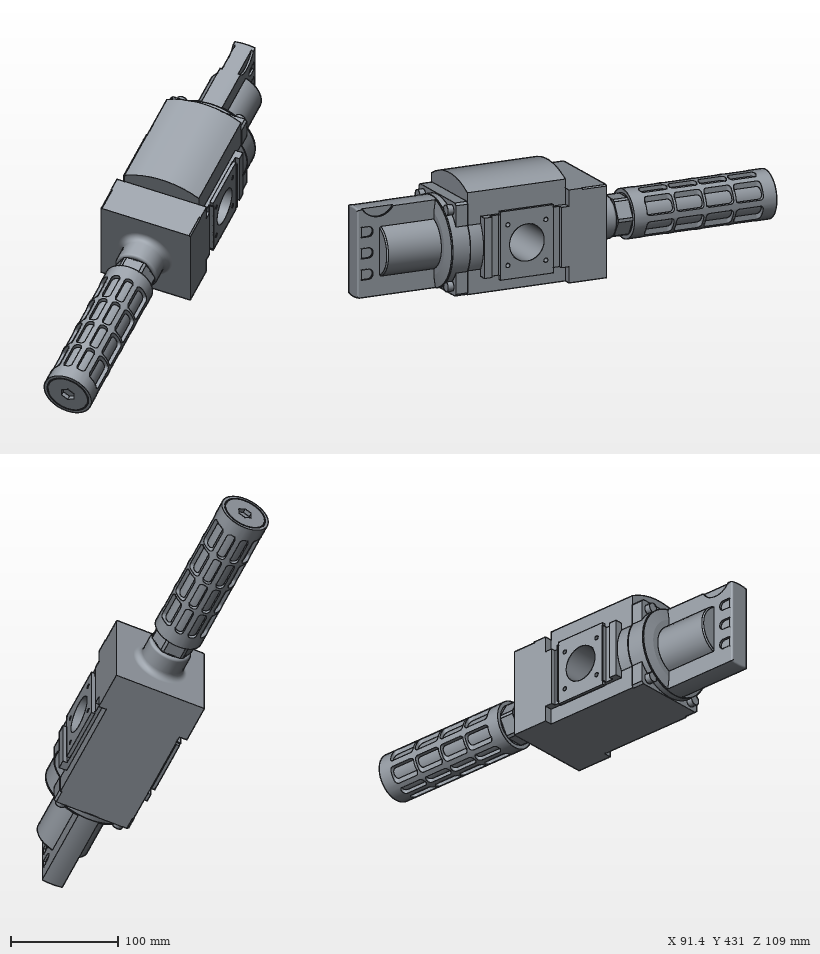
import cadquery as cq
import math


BODY_HALF = 45.2
BODY_BACK = 58.0
SPINE_HALF_WIDTH = 37.5
BLOCK_BACK = -44.0
BLOCK_SEAM = -58.0
BLOCK_FRONT = -83.0
BLOCK_CHAMFER = 1.5
DOME_SIDE_TOP = 54.0
DOME_TOP = 63.8

BAND_BACK = 44.5
BAND_HALF_HEIGHT = 29.5
NOTCH_OUTER = 36.0
NOTCH_INNER = 27.5
NOTCH_DEPTH = 4.5
PLATE_HALF_HEIGHT = 33.0
PLATE_THICKNESS = 3.5
LIP_HEIGHT = 1.0
LIP_WIDTH = 1.5
LIP_HALF_LENGTH = 29.7
PORT_DIAMETER = 36.0
PLATE_HOLE_DIAMETER = 4.15
PLATE_HOLE_SPACING = 39.5
PLATE_HOLE_DEPTH = 8.5

NECK_RADIUS = 43.5
BEZEL_RADIUS = 44.5
BEZEL_BACK = 76.5
LUG_BACK = 70.5
LUG_HALF_WIDTH = 38.5
LUG_HALF_HEIGHT = 45.2
LUG_CHAMFER = 2.0
SCREW_DIAMETER = 10.0
SCREW_X = 29.5
SCREW_Z = 37.0

COLLAR_RADIUS = 21.0
COLLAR_FLARE = 6.0
COLLAR_FRONT = -107.0
COLLAR_ROUNDING = 2.5

KNOB_RIM_BACK = 78.0
KNOB_DOME_RADIUS = 32.5
KNOB_DOME_BACK = 79.5
HUB_RADIUS = 26.3
HUB_BACK = 136.0
HUB_CHAMFER = 1.5
GRIP_TAB_RADIUS = 44.0
GRIP_TAB_HALF_WIDTH = 10.5
GRIP_TAB_BACK = 159.0
GRIP_TAB_ROUNDING = 1.7
SCOOP_RADIUS = 18.5
SCOOP_Y = 138
SCOOP_Z = 52.5
SCOOP_DEPTH = 2.0
LOCK_SLOT_WIDTH = 10.0
LOCK_SLOT_BACK = 155
LOCK_SLOT_FRONT = 143.0
LOCK_SLOT_PITCH = 20.5
LOCK_SLOT_DEPTH = 2.0

HEX_ACROSS_FLATS = 36.0
HEX_BACK = -108.0
NECK_DIAMETER = 34.0
CORE_DIAMETER = 40.0
SLEEVE_DIAMETER = 48.0
SLEEVE_BACK = -123.0
SLEEVE_FRONT = GRIP_TAB_BACK - 431
END_GAP = 1.0
END_GAP_DEPTH = 2.0
WINDOW_ROWS = 4
WINDOW_PITCH = 31.0
WINDOW_LENGTH = 28.5
WINDOW_BACK = -136.5
WINDOW_ROUNDING = 3.5
NARROW_WINDOW_INNER = 2.5
NARROW_WINDOW_OUTER = 10.8
WIDE_WINDOW_INNER = 15.0
WIDE_WINDOW_UPPER = 2.0
WIDE_WINDOW_LOWER = -4.0
SOCKET_ACROSS_FLATS = 12.5
SOCKET_DEPTH = 4.5


def box(x_range, y_range, z_range):
    """Box between the given pairs of coordinates."""
    (x0, x1), (y0, y1), (z0, z1) = x_range, y_range, z_range
    return cq.Workplane("XY").box(x1 - x0, y1 - y0, z1 - z0, centered=False).translate((x0, y0, z0))


def rod(radius, y0, y1, x=0, z=0):
    """Cylinder along Y from y0 to y1."""
    return cq.Workplane("XZ", origin=(x, y0, z)).circle(radius).extrude(y0 - y1)


def hex_bar(across_flats, y0, y1, turn=0):
    """Hexagonal bar along Y with corners toward X, or toward Z when turned by 30 degrees."""
    across_corners = across_flats / math.cos(math.pi / 6)
    bar = cq.Workplane("XZ", origin=(0, y0, 0)).polygon(6, across_corners).extrude(y0 - y1)
    return bar.rotate((0, 0, 0), (0, 1, 0), turn)


def mirrored_range(half):
    return (-half, half)



def end_block():
    back = box(mirrored_range(BODY_HALF), (BLOCK_SEAM, BLOCK_BACK), mirrored_range(BODY_HALF))
    front = box(mirrored_range(BODY_HALF), (BLOCK_FRONT, BLOCK_SEAM), mirrored_range(BODY_HALF))
    front = front.edges("|Y and >Z").chamfer(BLOCK_CHAMFER)
    return back.union(front)


def domed_spine():
    """Narrow body with an arched top."""
    return (
        cq.Workplane("XZ", origin=(0, BODY_BACK, 0))
        .moveTo(-SPINE_HALF_WIDTH, -BODY_HALF)
        .lineTo(SPINE_HALF_WIDTH, -BODY_HALF)
        .lineTo(SPINE_HALF_WIDTH, DOME_SIDE_TOP)
        .threePointArc((0, DOME_TOP), (-SPINE_HALF_WIDTH, DOME_SIDE_TOP))
        .close()
        .extrude(BODY_BACK - BLOCK_BACK)
    )


def side_bands():
    """Wide middle band with two vertical notches on each side."""
    band = box(mirrored_range(BODY_HALF), (BLOCK_BACK, BAND_BACK), mirrored_range(BAND_HALF_HEIGHT))
    notch_floor = BODY_HALF - NOTCH_DEPTH
    for notch_y in ((NOTCH_INNER, NOTCH_OUTER), (-NOTCH_OUTER, -NOTCH_INNER)):
        for notch_x in ((-BODY_HALF, -notch_floor), (notch_floor, BODY_HALF)):
            band = band.cut(box(notch_x, notch_y, mirrored_range(BAND_HALF_HEIGHT)))
    return band


def port_plates():
    plate_base = BODY_HALF - PLATE_THICKNESS
    left = box((-BODY_HALF, -plate_base), mirrored_range(NOTCH_INNER), mirrored_range(PLATE_HALF_HEIGHT))
    return left.union(left.mirror("YZ"))


def plate_lips():
    """Two thin upright lips along the ends of the +X plate."""
    lip = box(
        (BODY_HALF - PLATE_THICKNESS, BODY_HALF + LIP_HEIGHT),
        (NOTCH_INNER, NOTCH_INNER + LIP_WIDTH),
        mirrored_range(LIP_HALF_LENGTH),
    )
    return lip.union(lip.mirror("XZ"))


def side_port():
    return cq.Workplane("YZ").circle(PORT_DIAMETER / 2).extrude(2 * BODY_HALF, both=True)


def plate_holes():
    """Four blind holes around the port on each side."""
    holes = (
        cq.Workplane("YZ", origin=(-BODY_HALF, 0, 0))
        .rect(PLATE_HOLE_SPACING, PLATE_HOLE_SPACING, forConstruction=True)
        .vertices()
        .circle(PLATE_HOLE_DIAMETER / 2)
        .extrude(PLATE_HOLE_DEPTH)
    )
    return holes.union(holes.mirror("YZ"))


def bezel():
    """Round neck and bezel with a chamfered square lug plate and four screw heads."""
    lugs = box(mirrored_range(LUG_HALF_WIDTH), (BODY_BACK, LUG_BACK), mirrored_range(LUG_HALF_HEIGHT))
    lugs = lugs.edges("|Y").chamfer(LUG_CHAMFER)
    shape = lugs.union(box(
        mirrored_range(SPINE_HALF_WIDTH), (BAND_BACK, BODY_BACK), mirrored_range(BODY_HALF)))
    shape = shape.union(rod(NECK_RADIUS, BAND_BACK, BODY_BACK))
    shape = shape.union(rod(BEZEL_RADIUS, BODY_BACK, BEZEL_BACK))
    for x in (-SCREW_X, SCREW_X):
        for z in (-SCREW_Z, SCREW_Z):
            shape = shape.union(rod(SCREW_DIAMETER / 2, LUG_BACK, BEZEL_BACK, x, z))
    return shape


def outlet_collar():
    """Round collar that flares out where it meets the end block."""
    flare_end = BLOCK_FRONT - COLLAR_FLARE
    sag = COLLAR_FLARE * (1 - math.sqrt(0.5))
    return (
        cq.Workplane("XY")
        .moveTo(0, BLOCK_FRONT)
        .lineTo(COLLAR_RADIUS + COLLAR_FLARE, BLOCK_FRONT)
        .threePointArc((COLLAR_RADIUS + sag, BLOCK_FRONT - sag), (COLLAR_RADIUS, flare_end))
        .lineTo(COLLAR_RADIUS, COLLAR_FRONT)
        .lineTo(0, COLLAR_FRONT)
        .close()
        .revolve(360, (0, 0, 0), (0, 1, 0))
        .faces("<Y").edges().fillet(COLLAR_ROUNDING)
    )


def knob_disc():
    """Thin disc with a slightly conical back."""
    return (
        cq.Workplane("XY")
        .moveTo(0, BEZEL_BACK)
        .lineTo(GRIP_TAB_RADIUS, BEZEL_BACK)
        .lineTo(GRIP_TAB_RADIUS, KNOB_RIM_BACK)
        .lineTo(KNOB_DOME_RADIUS, KNOB_DOME_BACK)
        .lineTo(0, KNOB_DOME_BACK)
        .close()
        .revolve(360, (0, 0, 0), (0, 1, 0))
    )


def grip_tab():
    """Flat tab with round outer edges, thumb scoops and padlock slots."""
    slab = box(
        mirrored_range(GRIP_TAB_HALF_WIDTH), (BEZEL_BACK, GRIP_TAB_BACK), mirrored_range(GRIP_TAB_RADIUS))
    tab = rod(GRIP_TAB_RADIUS, BEZEL_BACK, GRIP_TAB_BACK).intersect(slab)
    tab = tab.faces(">Y").edges().fillet(GRIP_TAB_ROUNDING)
    cutter = thumb_scoop().union(padlock_slots())
    return tab.cut(cutter).cut(cutter.mirror("YZ"))


def thumb_scoop():
    return (
        cq.Workplane("YZ", origin=(-GRIP_TAB_HALF_WIDTH, SCOOP_Y, SCOOP_Z))
        .circle(SCOOP_RADIUS)
        .extrude(SCOOP_DEPTH)
    )


def padlock_slots():
    """Three shallow D-shaped slots, each rounded toward the hub."""
    radius = LOCK_SLOT_WIDTH / 2
    arc_y = LOCK_SLOT_FRONT + radius
    row = [(0, step * LOCK_SLOT_PITCH) for step in (-1, 0, 1)]
    outline = (
        cq.Sketch()
        .segment((LOCK_SLOT_BACK, -radius), (LOCK_SLOT_BACK, radius))
        .segment((arc_y, radius))
        .arc((LOCK_SLOT_FRONT, 0), (arc_y, -radius))
        .close()
        .assemble()
    )
    return (
        cq.Workplane("YZ", origin=(-GRIP_TAB_HALF_WIDTH, 0, 0))
        .pushPoints(row)
        .placeSketch(outline)
        .extrude(LOCK_SLOT_DEPTH)
    )


def knob():
    hub = rod(HUB_RADIUS, BEZEL_BACK, HUB_BACK).faces(">Y").chamfer(HUB_CHAMFER)
    return knob_disc().union(hub).union(grip_tab())


def make_valve():
    shape = end_block().union(domed_spine()).union(side_bands())
    shape = shape.union(port_plates()).union(plate_lips())
    shape = shape.union(bezel()).union(outlet_collar()).union(knob())
    return shape.cut(side_port()).cut(plate_holes())



def window_row(y_range):
    """Cutter for the ring of windows of one row."""
    outside = SLEEVE_DIAMETER
    narrow = box((NARROW_WINDOW_INNER, NARROW_WINDOW_OUTER), y_range, mirrored_range(outside))
    narrow = narrow.edges("|Z").fillet(WINDOW_ROUNDING)
    upper = box((WIDE_WINDOW_INNER, outside), y_range, (WIDE_WINDOW_UPPER, outside))
    upper = upper.edges("(|Z and <X) or (|X and <Z)").fillet(WINDOW_ROUNDING)
    lower = box((WIDE_WINDOW_INNER, outside), y_range, (-outside, WIDE_WINDOW_LOWER))
    lower = lower.edges("(|Z and <X) or (|X and >Z)").fillet(WINDOW_ROUNDING)
    half = narrow.union(upper).union(lower)
    return half.union(half.mirror("YZ"))


def make_core():
    """Rod with a hexagon at the back, a short neck against the collar and a hex socket in front."""
    core_radius = CORE_DIAMETER / 2
    hexagon = hex_bar(HEX_ACROSS_FLATS, SLEEVE_BACK, HEX_BACK)
    hexagon = hexagon.intersect(rod(core_radius, SLEEVE_BACK, HEX_BACK))
    shape = rod(core_radius, SLEEVE_FRONT, SLEEVE_BACK).union(hexagon)
    shape = shape.union(rod(NECK_DIAMETER / 2, HEX_BACK, COLLAR_FRONT))
    socket = hex_bar(SOCKET_ACROSS_FLATS, SLEEVE_FRONT, SLEEVE_FRONT + SOCKET_DEPTH, turn=30)
    return shape.cut(socket)


def make_sleeve():
    """Tube around the core with rows of windows through its wall."""
    bore_radius = CORE_DIAMETER / 2
    shape = rod(SLEEVE_DIAMETER / 2, SLEEVE_FRONT, SLEEVE_BACK)
    for row in range(WINDOW_ROWS):
        row_back = WINDOW_BACK - row * WINDOW_PITCH
        shape = shape.cut(window_row((row_back - WINDOW_LENGTH, row_back)))
    shape = shape.cut(rod(bore_radius, SLEEVE_FRONT, SLEEVE_BACK))
    return shape.cut(rod(bore_radius + END_GAP, SLEEVE_FRONT, SLEEVE_FRONT + END_GAP_DEPTH))


valve = make_valve()
core = make_core()
sleeve = make_sleeve()

result = cq.Compound.makeCompound([body.solids().val() for body in (valve, core, sleeve)])